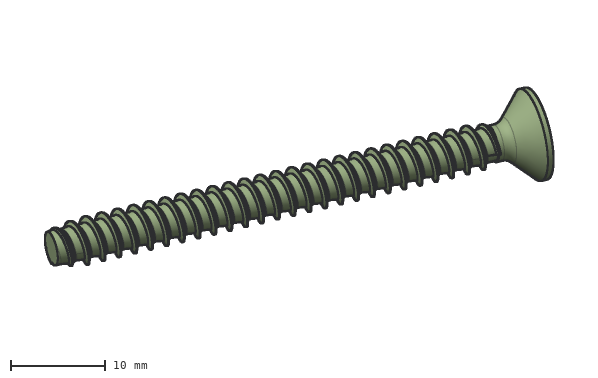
import cadquery as cq
import math

length = 55.0

head_radius = 5.0
rim_height = 0.65
cone_end_radius = 2.5
neck_radius = 2.0
cone_angle = math.radians(45)

core_radius = 1.8
ridge_radius = 1.9
crest_radius = 2.55
root_radius = 1.65
foot_depth = 0.01
foot_radius = core_radius - foot_depth

thread_start = 5.0
fade_in_turns = 1
full_turns = 25
fade_out_turns = 1.75
full_thread_end = 51.75
pitch = (full_thread_end - thread_start) / (fade_in_turns + full_turns)
first_crest_radius = 2.15
last_crest_radius = 2.0

crest_half_width = 0.05
flank_half_width = 0.3
steep_foot_offset = 0.55
root_gap = 0.03
long_foot_offset = pitch - steep_foot_offset - root_gap


def thread_profile(crest):
    """Thread section as (axial offset, radius) corners, from the head side to the tip side."""
    return [
        (-steep_foot_offset, root_radius),
        (-steep_foot_offset, foot_radius),
        (-flank_half_width, ridge_radius),
        (-crest_half_width, crest),
        (crest_half_width, crest),
        (flank_half_width, ridge_radius),
        (long_foot_offset, foot_radius),
        (long_foot_offset, root_radius),
    ]


def helix_edge(start_z, turns, start_radius, end_radius):
    """One turn line whose radius changes evenly from start to end."""
    rise = turns * pitch
    base = cq.Vector(0, 0, start_z)
    if start_radius == end_radius:
        return cq.Wire.makeHelix(pitch, rise, start_radius, center=base).Edges()[0]
    taper = math.atan2(end_radius - start_radius, rise)
    slant = 1 / math.cos(taper)
    wire = cq.Wire.makeHelix(
        pitch * slant,
        rise * slant,
        start_radius,
        center=base,
        angle=math.degrees(taper),
    )
    return wire.Edges()[0]


def thread_segment(start_z, turns, start_profile, end_profile):
    """Side faces of a stretch of thread that begins on the +X side."""
    edges = [
        helix_edge(start_z + offset, turns, start_radius, end_radius)
        for (offset, start_radius), (_, end_radius) in zip(start_profile, end_profile)
    ]
    return [
        cq.Face.makeRuledSurface(edge, following)
        for edge, following in zip(edges, edges[1:] + edges[:1])
    ]


def end_cap(crest_z, turns, profile):
    """Flat face that closes the thread, in the half plane reached after the given turns."""
    angle = 2 * math.pi * turns
    corners = [
        cq.Vector(radius * math.cos(angle), radius * math.sin(angle), crest_z + offset)
        for offset, radius in profile
    ]
    return cq.Face.makeFromWires(cq.Wire.makePolygon(corners, close=True))


def make_thread():
    first = thread_profile(first_crest_radius)
    full = thread_profile(crest_radius)
    last = thread_profile(last_crest_radius)
    full_start = thread_start + fade_in_turns * pitch
    thread_end = full_thread_end + fade_out_turns * pitch

    faces = [end_cap(thread_start, 0, first)]
    faces += thread_segment(thread_start, fade_in_turns, first, full)
    faces += thread_segment(full_start, full_turns, full, full)
    faces += thread_segment(full_thread_end, fade_out_turns, full, last)
    faces.append(end_cap(thread_end, fade_out_turns, last))
    return cq.Workplane(cq.Solid.makeSolid(cq.Shell.makeShell(faces)))


def make_body():
    """Head, filleted neck and plain core, turned as one profile."""
    cone_end = rim_height + (head_radius - cone_end_radius) / math.tan(cone_angle)
    fillet_radius = (cone_end_radius - neck_radius) / (1 - math.cos(cone_angle))
    fillet_end = cone_end + fillet_radius * math.sin(cone_angle)
    half_angle = cone_angle / 2
    fillet_middle = (
        neck_radius + fillet_radius * (1 - math.cos(half_angle)),
        fillet_end - fillet_radius * math.sin(half_angle),
    )
    return (
        cq.Workplane("XZ")
        .lineTo(head_radius, 0)
        .lineTo(head_radius, rim_height)
        .lineTo(cone_end_radius, cone_end)
        .threePointArc(fillet_middle, (neck_radius, fillet_end))
        .lineTo(neck_radius, thread_start)
        .lineTo(core_radius, thread_start)
        .lineTo(core_radius, length)
        .lineTo(0, length)
        .close()
        .revolve(360, (0, 0, 0), (0, 1, 0))
    )


envelope = cq.Workplane("XY").circle(head_radius).extrude(length)
thread = make_thread().intersect(envelope)
screw = make_body().union(thread)
result = screw.rotate((0, 0, 0), (1, 0, 0), 90).solids()